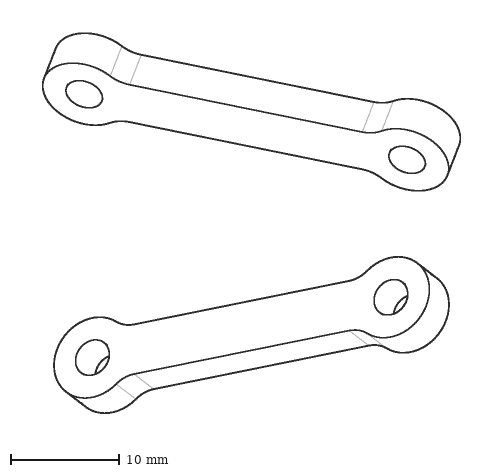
import cadquery as cq

pin_spacing = 31.0
eye_diameter = 8.0
hole_diameter = 3.5
bar_height = 5.0
thickness = 4.0
neck_radius = 3.0

eye_centres = [(-pin_spacing / 2, 0), (pin_spacing / 2, 0)]


def front_face():
    """Workplane on the -Y face, with its normal pointing out of the part."""
    return cq.Workplane("XZ", origin=(0, -thickness / 2, 0))


def discs(diameter):
    """One full-thickness cylinder at each eye centre."""
    return front_face().pushPoints(eye_centres).circle(diameter / 2).extrude(-thickness)


def link_body():
    """Two round eyes joined by a straight bar, with blended necks."""
    bar = front_face().rect(pin_spacing, bar_height).extrude(-thickness)
    body = bar.union(discs(eye_diameter))
    between_eyes = cq.selectors.BoxSelector(
        (-pin_spacing / 2, -thickness, -eye_diameter),
        (pin_spacing / 2, thickness, eye_diameter),
    )
    return body.edges("|Y").edges(between_eyes).fillet(neck_radius)


result = link_body().cut(discs(hole_diameter))